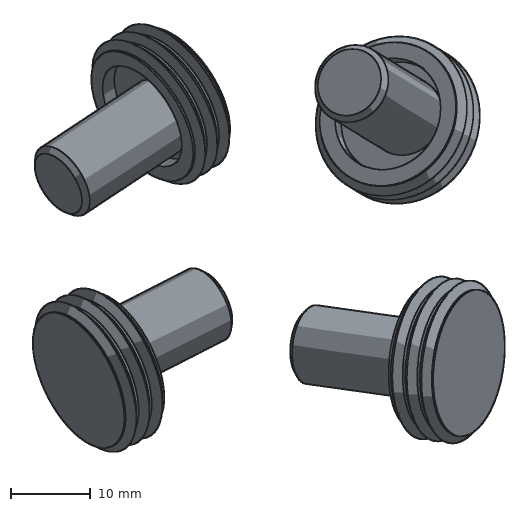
import cadquery as cq

total_length = 22.4

disc_thickness = 6.4
root_radius = 9.28
ridge_radius = 10.3
ridge_count = 3
ridge_pitch = 2.08
ridge_front_width = 0.8
ridge_back_width = 0.9
disc_front = total_length - disc_thickness
middle_ridge = total_length - disc_thickness / 2

pocket_radius = 7.2
pocket_depth = 2.02
pocket_floor = disc_front + pocket_depth

pin_radius = 5.0
pin_offset = 1.57
pin_chamfer = 0.7


def cylinder(radius, start, end, center_x=0):
    """Cylinder parallel to Y, from Y = start to Y = end."""
    return (
        cq.Workplane("XZ", origin=(center_x, start, 0))
        .circle(radius)
        .extrude(start - end)
    )


def make_disc():
    """Disc with pointed ridges around its rim and a pocket in its front face."""
    profile = cq.Workplane("XY").moveTo(0, disc_front).lineTo(root_radius, disc_front)
    for index in range(ridge_count):
        peak = middle_ridge + (index - (ridge_count - 1) / 2) * ridge_pitch
        profile = (
            profile.lineTo(root_radius, peak - ridge_front_width)
            .lineTo(ridge_radius, peak)
            .lineTo(root_radius, peak + ridge_back_width)
        )
    profile = profile.lineTo(root_radius, total_length).lineTo(0, total_length).close()
    blank = profile.revolve(360, (0, 0, 0), (0, 1, 0))
    return blank.cut(cylinder(pocket_radius, disc_front, pocket_floor))


def make_pin():
    """Pin with a chamfered tip, offset along X from the disc axis."""
    return cylinder(pin_radius, 0, pocket_floor, pin_offset).faces("<Y").chamfer(pin_chamfer)


disc = make_disc()
pin = make_pin()
result = cq.Compound.makeCompound([disc.val(), pin.val()])